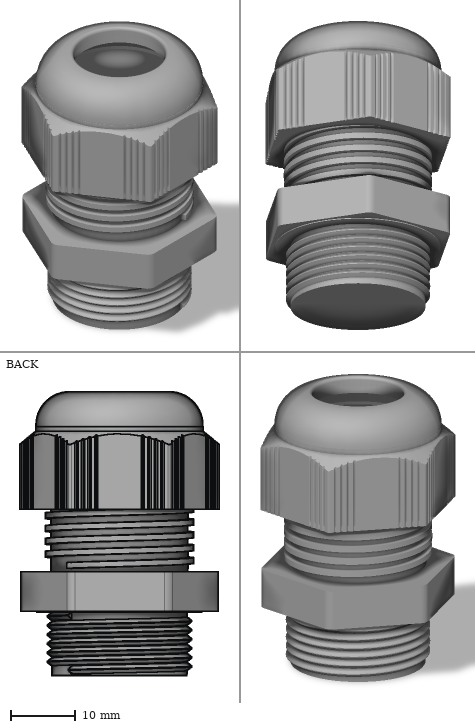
import cadquery as cq
import math

TOTAL_HEIGHT = 44.15
FLANGE_BOTTOM = 9.98
FLANGE_TOP = 16.15
CAP_BOTTOM = 25.8

ACROSS_FLATS = 27.0
ACROSS_CORNERS = ACROSS_FLATS / math.cos(math.radians(30))

STUB_DIAMETER = 21.0
FLANGE_CORNER_RADIUS = 1.5
SEAT_DIAMETER = 25.7
SEAT_HEIGHT = 0.15

NECK_DIAMETER = 21.3
NECK_TOP = 29.15

CAP_CORNER_RADIUS = 0.5
CONE_LOW_RADIUS = ACROSS_CORNERS / 2
CONE_LOW_Z = 35.85
BAND_DIAMETER = 26.1
BAND_BOTTOM = 37.95
BAND_TOP = 38.65
DOME_DIAMETER = 26.0
DOME_RADIUS = 5.3

GROOVES_PER_SIDE = 4
GROOVE_PITCH = 1.0
GROOVE_FIRST_OFFSET = 3.6
GROOVE_DEPTH = 0.25

OPENING_DIAMETER = 14.4
OPENING_DEPTH = 2.65
CAVITY_DIAMETER = 19.85
CAVITY_DEPTH = 5.3
CAVITY_FLOOR_CHAMFER = 0.35

THREAD_START_ANGLE = 45.0
THREAD_ROOT_OVERLAP = 0.065

STUB_THREAD_DIAMETER = 22.45
STUB_THREAD_PITCH = 1.4
STUB_THREAD_TURNS = 6
STUB_THREAD_START = 0.9
STUB_THREAD_ROOT_WIDTH = 1.3
STUB_THREAD_CREST_WIDTH = 0.15

NECK_THREAD_DIAMETER = 23.1
NECK_THREAD_TURNS = 5
NECK_THREAD_RISE = 9.98
NECK_THREAD_PITCH = NECK_THREAD_RISE / NECK_THREAD_TURNS
NECK_THREAD_START = 17.13
NECK_THREAD_ROOT_WIDTH = 0.95
NECK_THREAD_CREST_WIDTH = 0.9


def cylinder(diameter, bottom, top):
    return cq.Workplane("XY").workplane(offset=bottom).circle(diameter / 2).extrude(top - bottom)


def hexagon(bottom, top, corner_radius):
    """Hexagonal prism with corners on the X axis and rounded vertical edges."""
    prism = cq.Workplane("XY").workplane(offset=bottom).polygon(6, ACROSS_CORNERS).extrude(top - bottom)
    return prism.edges("|Z").fillet(corner_radius)


def thread(core_diameter, crest_diameter, pitch, turns, start, root_width, crest_width):
    """Right-handed ridge whose flanks run on a little way into the core."""
    core_radius = core_diameter / 2
    crest_radius = crest_diameter / 2
    flank_slope = (root_width - crest_width) / (crest_radius - core_radius)
    foot_radius = core_radius - THREAD_ROOT_OVERLAP
    foot_width = root_width + flank_slope * THREAD_ROOT_OVERLAP
    helix = cq.Workplane("XY").add(cq.Wire.makeHelix(pitch, pitch * turns, core_radius))
    ridge = (
        cq.Workplane("XZ")
        .polyline([
            (foot_radius, -foot_width / 2),
            (crest_radius, -crest_width / 2),
            (crest_radius, crest_width / 2),
            (foot_radius, foot_width / 2),
        ])
        .close()
        .sweep(helix, isFrenet=True)
    )
    return ridge.rotate((0, 0, 0), (0, 0, 1), THREAD_START_ANGLE).translate((0, 0, start))


def cap_envelope():
    """Turned body of the cap: conical shoulder, band, dome, rounded mouth and undercut cavity."""
    band_radius = BAND_DIAMETER / 2
    dome_side = DOME_DIAMETER / 2
    dome_centre = dome_side - DOME_RADIUS
    dome_bottom = TOTAL_HEIGHT - DOME_RADIUS
    opening_radius = OPENING_DIAMETER / 2
    mouth_radius = dome_centre - opening_radius
    cavity_radius = CAVITY_DIAMETER / 2
    cavity_floor = TOTAL_HEIGHT - CAVITY_DEPTH
    diagonal = math.sqrt(0.5)
    return (
        cq.Workplane("XZ")
        .moveTo(0, CAP_BOTTOM)
        .lineTo(CONE_LOW_RADIUS, CAP_BOTTOM)
        .lineTo(CONE_LOW_RADIUS, CONE_LOW_Z)
        .lineTo(band_radius, BAND_BOTTOM)
        .lineTo(band_radius, BAND_TOP)
        .lineTo(dome_side, BAND_TOP)
        .lineTo(dome_side, dome_bottom)
        .threePointArc(
            (dome_centre + DOME_RADIUS * diagonal, dome_bottom + DOME_RADIUS * diagonal),
            (dome_centre, TOTAL_HEIGHT),
        )
        .threePointArc(
            (dome_centre - mouth_radius * diagonal, TOTAL_HEIGHT - mouth_radius * (1 - diagonal)),
            (opening_radius, TOTAL_HEIGHT - mouth_radius),
        )
        .lineTo(opening_radius, TOTAL_HEIGHT - OPENING_DEPTH)
        .lineTo(cavity_radius, TOTAL_HEIGHT - OPENING_DEPTH)
        .lineTo(cavity_radius, cavity_floor + CAVITY_FLOOR_CHAMFER)
        .lineTo(cavity_radius - CAVITY_FLOOR_CHAMFER, cavity_floor)
        .lineTo(0, cavity_floor)
        .close()
        .revolve(360, (0, 0, 0), (0, 1, 0))
    )


def grip_grooves():
    """Right-angled V grooves, in two groups on every flat of the cap."""
    flat = ACROSS_FLATS / 2
    offsets = [GROOVE_FIRST_OFFSET + i * GROOVE_PITCH for i in range(GROOVES_PER_SIDE)]
    one_flat = cq.Workplane("XY").workplane(offset=CAP_BOTTOM)
    for offset in offsets + [-x for x in offsets]:
        one_flat = one_flat.polyline([
            (offset, flat - GROOVE_DEPTH),
            (offset + 2 * GROOVE_DEPTH, flat + GROOVE_DEPTH),
            (offset - 2 * GROOVE_DEPTH, flat + GROOVE_DEPTH),
        ]).close()
    one_flat = one_flat.extrude(TOTAL_HEIGHT - CAP_BOTTOM)
    grooves = one_flat
    for side in range(1, 6):
        grooves = grooves.add(one_flat.rotate((0, 0, 0), (0, 0, 1), 60 * side))
    return grooves.combine()


stub = cylinder(STUB_DIAMETER, 0, FLANGE_BOTTOM).union(
    thread(
        STUB_DIAMETER,
        STUB_THREAD_DIAMETER,
        STUB_THREAD_PITCH,
        STUB_THREAD_TURNS,
        STUB_THREAD_START,
        STUB_THREAD_ROOT_WIDTH,
        STUB_THREAD_CREST_WIDTH,
    )
)

flange = hexagon(FLANGE_BOTTOM, FLANGE_TOP, FLANGE_CORNER_RADIUS)
seat = cylinder(SEAT_DIAMETER, FLANGE_BOTTOM - SEAT_HEIGHT, FLANGE_BOTTOM)

neck = cylinder(NECK_DIAMETER, FLANGE_TOP, NECK_TOP).union(
    thread(
        NECK_DIAMETER,
        NECK_THREAD_DIAMETER,
        NECK_THREAD_PITCH,
        NECK_THREAD_TURNS,
        NECK_THREAD_START,
        NECK_THREAD_ROOT_WIDTH,
        NECK_THREAD_CREST_WIDTH,
    )
)

cap = hexagon(CAP_BOTTOM, TOTAL_HEIGHT, CAP_CORNER_RADIUS).cut(grip_grooves()).intersect(cap_envelope())

result = stub.union(seat).union(flange).union(neck).union(cap)